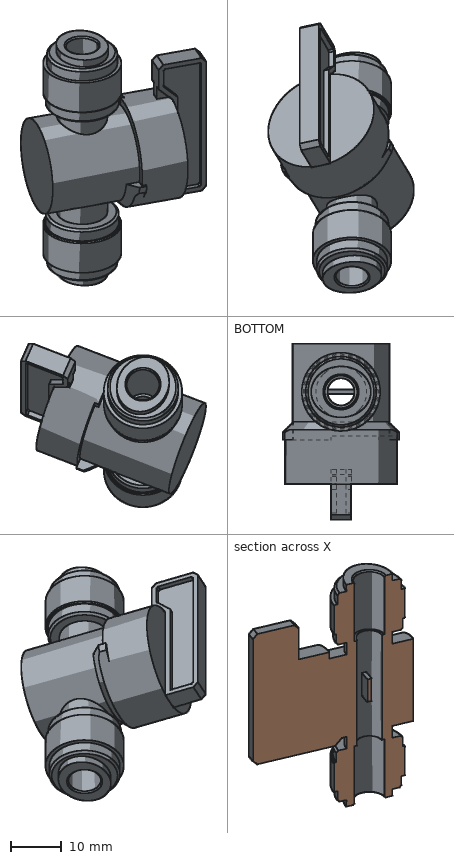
import cadquery as cq
import math


half_length = 25.85
tip_length_x = 11.8
tip_length_y = 10.1
neck_radius = 5.0
entry_radius = 3.2
entry_chamfer = 0.3
waterway_radius = 2.66
web_thickness = 0.95

socket_base_z = 12.25
sleeve_base_z = 14.8
sleeve_top_z = 21.75
socket_top_z = 24.3
base_ring_radius = 7.25
sleeve_radius = 7.75
end_ring_radius = 7.0
ring_chamfer = 0.45
sleeve_chamfer = 0.25

barrel_radius = 9.6
barrel_front_y = -9.5
cap_radius = 11.1
cap_front_y = 9.5
cap_back_y = 18.25
cap_lip_length = 0.85

stop_edge_z = -1.95
stop_ear_radius = 11.7
stop_ear_bottom_z = -3.5
stop_blend_bottom_z = -5.3
stop_cone_front_y = 5.95

grip_width = 4.0
grip_back_y = 25.3
grip_front_y = 15.3
grip_top_z = 19.3
grip_slope_top_z = 13.85
grip_slope_bottom_z = grip_slope_top_z - (cap_back_y - grip_front_y)
grip_chamfer = 1.0
grip_border = 1.05
grip_recess_depth = 1.05
grip_web_width = grip_width - 2 * grip_recess_depth


def cylinder_y(radius, start_y, end_y):
    """Solid cylinder on the Y axis."""
    return cq.Workplane("XZ", origin=(0, start_y, 0)).circle(radius).extrude(start_y - end_y)


def extrude_across_x(outline, width):
    """Extrude a list of (y, z) points symmetrically about X = 0."""
    return cq.Workplane("YZ").polyline(outline).close().extrude(width / 2, both=True)


def x_on_circle(radius, z):
    """Positive X of the point at height z on a circle about the Y axis."""
    return math.sqrt(radius**2 - z**2)


def make_socket():
    """Upper push-fit socket with its neck, without the bore."""
    profile = [
        (0, 0),
        (neck_radius, 0),
        (neck_radius, socket_base_z),
        (base_ring_radius - ring_chamfer, socket_base_z),
        (base_ring_radius, socket_base_z + ring_chamfer),
        (base_ring_radius, sleeve_base_z),
        (sleeve_radius - sleeve_chamfer, sleeve_base_z),
        (sleeve_radius, sleeve_base_z + sleeve_chamfer),
        (sleeve_radius, sleeve_top_z),
        (end_ring_radius, sleeve_top_z),
        (end_ring_radius, socket_top_z - ring_chamfer),
        (end_ring_radius - ring_chamfer, socket_top_z),
        (0, socket_top_z),
    ]
    turned = cq.Workplane("XZ").polyline(profile).close().revolve(360, (0, 0), (0, 1))
    tip = (
        cq.Workplane("XY", origin=(0, 0, sleeve_top_z))
        .ellipse(tip_length_x / 2, tip_length_y / 2)
        .extrude(half_length - sleeve_top_z)
    )
    return turned.union(tip)


def make_bore():
    """Upper half of the stepped waterway, with a chamfered mouth."""
    profile = [
        (0, 0),
        (waterway_radius, 0),
        (waterway_radius, socket_base_z),
        (entry_radius, socket_base_z),
        (entry_radius, half_length - entry_chamfer),
        (entry_radius + entry_chamfer, half_length),
        (0, half_length),
    ]
    return cq.Workplane("XZ").polyline(profile).close().revolve(360, (0, 0), (0, 1))


def make_cap():
    """Round cap with a quarter-turn lip at its front edge."""
    cap = cylinder_y(cap_radius, cap_front_y, cap_back_y)
    lip = cylinder_y(cap_radius, cap_front_y - cap_lip_length, cap_front_y)
    lip_sector = cq.Workplane("XY").box(
        cap_radius + grip_width / 2,
        cap_back_y,
        cap_radius - stop_edge_z,
        centered=False,
    ).translate((-grip_width / 2, 0, stop_edge_z))
    return cap.union(lip.intersect(lip_sector))


def make_stop():
    """Lower flange with two ears, its front bevelled by a 45 degree cone."""
    ear_middle_z = (stop_edge_z + stop_ear_bottom_z) / 2
    blend_bottom = (x_on_circle(cap_radius, stop_blend_bottom_z), stop_blend_bottom_z)
    ear_bottom = (x_on_circle(stop_ear_radius, stop_ear_bottom_z), stop_ear_bottom_z)
    ear_middle = (x_on_circle(stop_ear_radius, ear_middle_z), ear_middle_z)
    ear_top = (x_on_circle(stop_ear_radius, stop_edge_z), stop_edge_z)
    underside_middle = (cap_radius * math.sqrt(0.5), -cap_radius * math.sqrt(0.5))
    length = cap_front_y - stop_cone_front_y

    half_flange = (
        cq.Workplane("XZ", origin=(0, cap_front_y, 0))
        .moveTo(0, -cap_radius)
        .threePointArc(underside_middle, blend_bottom)
        .tangentArcPoint(ear_bottom, relative=False)
        .threePointArc(ear_middle, ear_top)
        .lineTo(0, stop_edge_z)
        .close()
        .extrude(length)
    )
    flange = half_flange.union(half_flange.mirror("YZ"))

    bevel_profile = [
        (0, stop_cone_front_y),
        (barrel_radius, stop_cone_front_y),
        (barrel_radius + length, cap_front_y),
        (0, cap_front_y),
    ]
    bevel = cq.Workplane("XY").polyline(bevel_profile).close().revolve(360, (0, 0), (0, 1))
    return flange.intersect(bevel)


def make_grip():
    """Grip bar with a bordered recess in each side and a gusset onto the cap."""
    outline = [
        (cap_back_y, -cap_radius),
        (cap_back_y, grip_slope_bottom_z),
        (grip_front_y, grip_slope_top_z),
        (grip_front_y, grip_top_z - grip_chamfer),
        (grip_front_y + grip_chamfer, grip_top_z),
        (grip_back_y - grip_chamfer, grip_top_z),
        (grip_back_y, grip_top_z - grip_chamfer),
        (grip_back_y, grip_chamfer - cap_radius),
        (grip_back_y - grip_chamfer, -cap_radius),
    ]
    grip = extrude_across_x(outline, grip_width)

    for start_x in (grip_web_width / 2, -grip_width / 2):
        recess = (
            cq.Workplane("YZ", origin=(start_x, 0, 0))
            .polyline(outline)
            .close()
            .offset2D(-grip_border, "intersection")
            .extrude(grip_recess_depth)
        )
        grip = grip.cut(recess)

    gusset_bottom_z = cap_radius - grip_border
    gusset_outline = [
        (cap_back_y, gusset_bottom_z),
        (cap_back_y, grip_slope_bottom_z),
        (grip_front_y, grip_slope_top_z),
        (grip_front_y, gusset_bottom_z),
    ]
    return grip.union(extrude_across_x(gusset_outline, grip_web_width))


barrel = cylinder_y(barrel_radius, barrel_front_y, cap_back_y)
socket = make_socket()
bore = make_bore()
web = cq.Workplane("XY").box(2 * neck_radius, web_thickness, 2 * waterway_radius)
flow_path = bore.union(bore.mirror("XY")).cut(web)

housing = barrel.union(socket).union(socket.mirror("XY"))
housing = housing.union(make_cap()).union(make_stop()).union(make_grip())
result = housing.cut(flow_path)